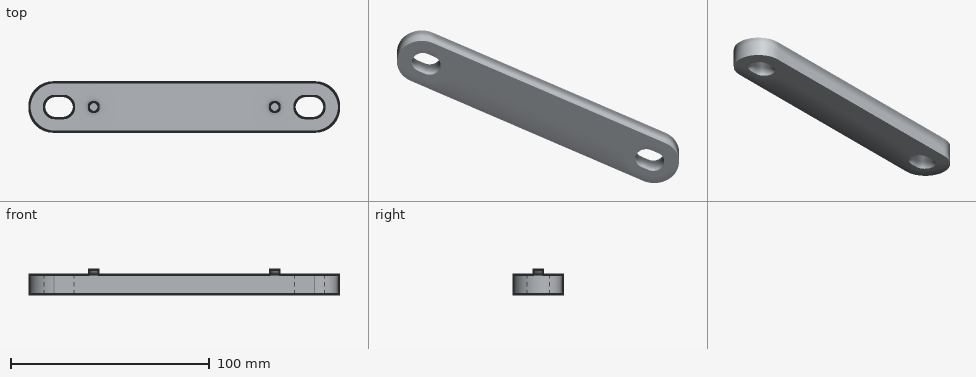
import cadquery as cq

bar_length = 156.0
bar_width = 25.0
bar_thickness = 10.0

slot_length = 15.0
slot_width = 11.0
slot_offset = 63.0

pin_diameter = 5.0
pin_height = 2.5
pin_offset = 45.5


def mirrored_places(offset):
    """Two points on the long axis, equally far from the middle of the bar."""
    return [(-offset, 0), (offset, 0)]


bar = cq.Workplane("XY").slot2D(bar_length, bar_width).extrude(bar_thickness)

slots = (
    cq.Workplane("XY")
    .pushPoints(mirrored_places(slot_offset))
    .slot2D(slot_length, slot_width)
    .extrude(bar_thickness)
)

pins = (
    cq.Workplane("XY")
    .pushPoints(mirrored_places(pin_offset))
    .circle(pin_diameter / 2)
    .extrude(bar_thickness + pin_height)
)

result = bar.cut(slots).union(pins)